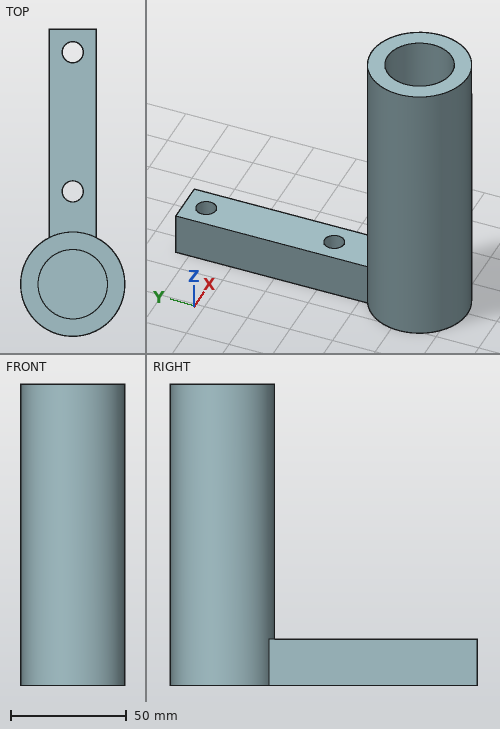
import cadquery as cq

tube_diameter = 45.0
tube_height = 130.0
bore_diameter = 30.0

overall_length = 132.5
arm_width = 20.4
arm_height = 20.0
arm_end = overall_length - tube_diameter / 2

hole_diameter = 9.0
hole_end_margin = 10.0
hole_spacing = 60.0

floor_thickness = arm_height


def make_tube():
    return cq.Workplane("XY").circle(tube_diameter / 2).extrude(tube_height)


def make_arm():
    return cq.Workplane("XY").box(arm_width, arm_end, arm_height, centered=(True, False, False))


def make_bore():
    bore_depth = tube_height - floor_thickness
    return cq.Workplane("XY", origin=(0, 0, floor_thickness)).circle(bore_diameter / 2).extrude(bore_depth)


def make_arm_holes():
    outer_hole_y = arm_end - hole_end_margin
    hole_centers = [(0, outer_hole_y), (0, outer_hole_y - hole_spacing)]
    return cq.Workplane("XY").pushPoints(hole_centers).circle(hole_diameter / 2).extrude(arm_height)


result = make_tube().union(make_arm()).cut(make_bore()).cut(make_arm_holes())